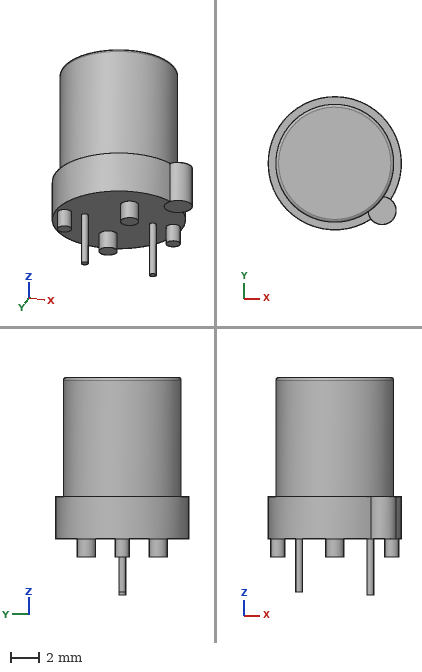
import cadquery as cq
import math

total_height = 15.5
long_pin_length = 4.0
short_pin_length = 3.8
base_height = 3.0
can_height = total_height - long_pin_length - base_height
foot_height = 1.3

base_diameter = 9.5
lobe_diameter = 2.0
lobe_distance = 4.77
lobe_angle = -45.0

can_diameter = 8.4
can_top_fillet = 0.2

small_foot_diameter = 1.0
small_foot_offset = 4.06
large_foot_diameter = 1.3
large_foot_offset = 2.55
pin_diameter = 0.5
pin_offset = 2.54


def cylinder_up(diameter, height, bottom=0.0):
    """Vertical cylinder on the main axis, rising from the given height."""
    return cq.Workplane("XY").workplane(offset=bottom).circle(diameter / 2).extrude(height)


def cylinder_below_base(diameter, length, x, y):
    """Vertical cylinder hanging from the underside of the base."""
    return cq.Workplane("XY").center(x, y).circle(diameter / 2).extrude(-length)


def make_housing():
    """Round base and the can above it in one piece, with a rounded top edge."""
    base = cylinder_up(base_diameter, base_height)
    can = cylinder_up(can_diameter, can_height, bottom=base_height)
    return base.union(can).faces(">Z").edges().fillet(can_top_fillet)


def make_lobe():
    """Full-height keying cylinder straddling the rim of the base."""
    lobe_x = lobe_distance * math.cos(math.radians(lobe_angle))
    lobe_y = lobe_distance * math.sin(math.radians(lobe_angle))
    return cylinder_up(lobe_diameter, base_height).translate((lobe_x, lobe_y, 0))


lobe = make_lobe()
housing = make_housing().cut(lobe)

feet = []
for side in (-1, 1):
    feet.append(cylinder_below_base(small_foot_diameter, foot_height, side * small_foot_offset, 0))
    feet.append(cylinder_below_base(large_foot_diameter, foot_height, 0, side * large_foot_offset))

pins = []
for side, length in ((-1, short_pin_length), (1, long_pin_length)):
    pins.append(cylinder_below_base(pin_diameter, length, side * pin_offset, 0))

result = cq.Compound.makeCompound([
    housing.val(),
    lobe.val(),
    *[foot.val() for foot in feet],
    *[pin.val() for pin in pins],
])